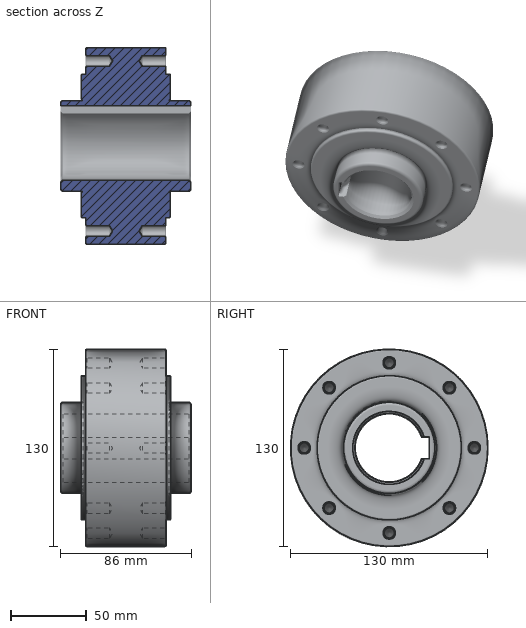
import cadquery as cq
import math

BODY_DIAMETER = 130.0
BODY_WIDTH = 53.0
BODY_EDGE_RADIUS = 1.2

SHOULDER_DIAMETER = 95.0
SHOULDER_WIDTH = 59.0
SHOULDER_EDGE_RADIUS = 1.2

HUB_DIAMETER = 60.0
HUB_LENGTH = 86.0
HUB_EDGE_RADIUS = 2.0

OPENING_EDGE_RADIUS = 1.2

BORE_DIAMETER = 45.0
BORE_CHAMFER = 1.5
KEYWAY_WIDTH = 14.0
KEYWAY_REACH = 26.3

SCREW_COUNT = 8
SCREW_CIRCLE_DIAMETER = 112.0
SCREW_HOLE_DIAMETER = 6.8
SCREW_HOLE_DEPTH = 15.6
SCREW_TIP_ANGLE = 118.0
SCREW_MOUTH_DIAMETER = 8.0

AXIS_START = (0, 0, 0)
AXIS_END = (1, 0, 0)


def centred_disc(diameter, width, edge_radius):
    """Disc about the X axis, centred on the origin, with both rims rounded."""
    disc = cq.Workplane("YZ", origin=(-width / 2, 0, 0)).circle(diameter / 2).extrude(width)
    return disc.faces("<X or >X").edges().fillet(edge_radius)


def shoulder_with_opening():
    """Shoulder disc whose opening for the hub is rounded at both faces."""
    shoulder = centred_disc(SHOULDER_DIAMETER, SHOULDER_WIDTH, SHOULDER_EDGE_RADIUS)
    shoulder = shoulder.faces(">X").workplane().hole(HUB_DIAMETER)
    opening_rims = cq.selectors.RadiusNthSelector(0)
    return shoulder.faces("<X or >X").edges(opening_rims).fillet(OPENING_EDGE_RADIUS)


def bore_cutter():
    """Through bore with a 45 degree chamfer at each end."""
    radius = BORE_DIAMETER / 2
    mouth_radius = radius + BORE_CHAMFER
    end = HUB_LENGTH / 2
    chamfer_start = end - BORE_CHAMFER
    profile = [
        (-end, 0),
        (-end, mouth_radius),
        (-chamfer_start, radius),
        (chamfer_start, radius),
        (end, mouth_radius),
        (end, 0),
    ]
    return cq.Workplane("XY").polyline(profile).close().revolve(360, AXIS_START, AXIS_END)


def keyway_cutter():
    """Full-length keyway opening from the bore towards +Y."""
    return cq.Workplane("XY").box(HUB_LENGTH, KEYWAY_REACH, KEYWAY_WIDTH, centered=(True, False, True))


def screw_hole_cutter():
    """Blind drilled hole with a chamfered mouth, entering the -X face of the body along the X axis."""
    radius = SCREW_HOLE_DIAMETER / 2
    mouth_radius = SCREW_MOUTH_DIAMETER / 2
    face = -BODY_WIDTH / 2
    bottom = face + SCREW_HOLE_DEPTH
    tip = bottom + radius / math.tan(math.radians(SCREW_TIP_ANGLE / 2))
    profile = [
        (face, 0),
        (face, mouth_radius),
        (face + mouth_radius - radius, radius),
        (bottom, radius),
        (tip, 0),
    ]
    return cq.Workplane("XY").polyline(profile).close().revolve(360, AXIS_START, AXIS_END)


body = centred_disc(BODY_DIAMETER, BODY_WIDTH, BODY_EDGE_RADIUS)
hub = centred_disc(HUB_DIAMETER, HUB_LENGTH, HUB_EDGE_RADIUS)
result = body.union(shoulder_with_opening()).union(hub)

result = result.cut(bore_cutter()).cut(keyway_cutter())

screw_hole = screw_hole_cutter().translate((0, 0, SCREW_CIRCLE_DIAMETER / 2))
for index in range(SCREW_COUNT):
    near_hole = screw_hole.rotate(AXIS_START, AXIS_END, index * 360 / SCREW_COUNT)
    result = result.cut(near_hole).cut(near_hole.mirror("YZ"))